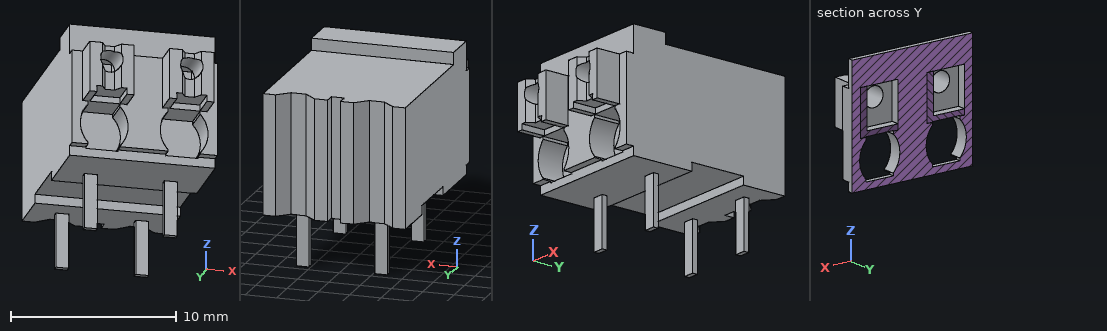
import cadquery as cq


pole_pitch = 5.0
pole_centres = (-pole_pitch / 2, pole_pitch / 2)

total_length = 14.0
button_reach = 1.72
housing_width = 9.1
housing_length = total_length - button_reach
body_height = 7.73
crest_height = 8.5
crest_length = 2.49

lip_reach = 0.57
lip_bottom = 0.62
lip_top = 6.6

underside_depth = 0.57
underside_length = 4.0
back_foot_length = 3.2

back_cut_depth = 0.71
channel_mouth = 2.49
channel_floor = 0.95
back_slot_width = 0.81

button_width = 2.77
button_height = 3.2
button_bottom = lip_top - button_height
cavity_back = 1.88
plate_back = 0.38
side_wall = 0.49
groove_mouth = 1.2
groove_floor = 0.59
groove_depth = 0.52
bore_diameter = 1.4
bore_height = 5.61
notch_width = 1.88
notch_height = 0.39

entry_offset = -0.04
entry_bulge_width = 2.98
entry_bulge_height = 2.49
entry_centre_height = 1.95
entry_slot_width = 2.0
entry_slot_bottom = 0.53

pin_width = 0.81
pin_thickness = 0.38
pin_length = 3.5
pin_row_pitch = 7.0
back_pin_inset = 1.68
back_pin_y = housing_length - back_pin_inset
pin_rows = (back_pin_y - pin_row_pitch, back_pin_y)


def block(x_middle, width, y_range, z_range):
    """A box centred on x_middle that spans the given Y and Z ranges."""
    y_front, y_back = y_range
    z_low, z_high = z_range
    return (
        cq.Workplane("XY")
        .box(width, y_back - y_front, z_high - z_low, centered=(True, False, False))
        .translate((x_middle, y_front, z_low))
    )


def tapered_channel(x_middle, mouth, floor, y_mouth, y_floor):
    """An upright trapezoidal prism, taller than the housing, for cutting a channel."""
    return (
        cq.Workplane("XY")
        .polyline([
            (x_middle - mouth / 2, y_mouth),
            (x_middle - floor / 2, y_floor),
            (x_middle + floor / 2, y_floor),
            (x_middle + mouth / 2, y_mouth),
        ])
        .close()
        .extrude(crest_height)
    )


def cylinder_along_y(x_middle, z_middle, diameter, y_range):
    """A round bar whose axis runs along Y."""
    y_front, y_back = y_range
    return (
        cq.Workplane("XZ", origin=(x_middle, y_front, z_middle))
        .circle(diameter / 2)
        .extrude(y_front - y_back)
    )


def make_housing_shell():
    """The stepped side outline carried across the full width."""
    underside_back = housing_length - back_foot_length
    underside_front = underside_back - underside_length
    crest_back = lip_reach + crest_length
    side_outline = [
        (0, lip_bottom),
        (lip_reach, lip_bottom),
        (lip_reach, 0),
        (underside_front, 0),
        (underside_front, underside_depth),
        (underside_back, underside_depth),
        (underside_back, 0),
        (housing_length, 0),
        (housing_length, body_height),
        (crest_back, body_height),
        (crest_back, crest_height),
        (lip_reach, crest_height),
        (lip_reach, lip_top),
        (0, lip_top),
    ]
    return (
        cq.Workplane("YZ", origin=(-housing_width / 2, 0, 0))
        .polyline(side_outline)
        .close()
        .extrude(housing_width)
    )


def make_wire_entry(pole_x):
    """The cutter for one wire entry, reaching up to the underside of the button."""
    bulge_low = entry_centre_height - entry_bulge_height / 2
    bulge_high = entry_centre_height + entry_bulge_height / 2
    half_slot = entry_slot_width / 2
    half_bulge = entry_bulge_width / 2
    return (
        cq.Workplane("XZ", origin=(pole_x + entry_offset, 0, 0))
        .moveTo(-half_slot, entry_slot_bottom)
        .lineTo(half_slot, entry_slot_bottom)
        .lineTo(half_slot, bulge_low)
        .threePointArc((half_bulge, entry_centre_height), (half_slot, bulge_high))
        .lineTo(half_slot, button_bottom)
        .lineTo(-half_slot, button_bottom)
        .lineTo(-half_slot, bulge_high)
        .threePointArc((-half_bulge, entry_centre_height), (-half_slot, bulge_low))
        .close()
        .extrude(-cavity_back)
    )


def make_housing():
    housing = make_housing_shell()
    back_cut_floor = housing_length - back_cut_depth
    for pole_x in pole_centres:
        button_seat = block(pole_x, button_width, (0, cavity_back), (button_bottom, lip_top))
        back_channel = tapered_channel(
            pole_x, channel_mouth, channel_floor, housing_length, back_cut_floor
        )
        housing = housing.cut(button_seat).cut(make_wire_entry(pole_x)).cut(back_channel)
    back_slot = block(0, back_slot_width, (back_cut_floor, housing_length), (0, crest_height))
    return housing.cut(back_slot)


def make_button(pole_x):
    """A block hollowed behind its front plate, leaving a low floor and a wall on the +X side."""
    body = block(pole_x, button_width, (-button_reach, cavity_back), (button_bottom, lip_top))

    floor_top = button_bottom + notch_height
    hollow_x = pole_x - side_wall / 2
    hollow_width = button_width - side_wall
    hollow = block(hollow_x, hollow_width, (plate_back, cavity_back), (floor_top, lip_top))

    groove = tapered_channel(
        pole_x, groove_mouth, groove_floor, -button_reach, groove_depth - button_reach
    )
    bore = cylinder_along_y(pole_x, bore_height, bore_diameter, (-button_reach, plate_back))
    notch = block(pole_x, notch_width, (-button_reach, 0), (button_bottom, floor_top))
    return body.cut(hollow).cut(groove).cut(bore).cut(notch)


def make_pin(pole_x, row_y):
    """A flat pin standing down from the underside of the housing."""
    y_range = (row_y - pin_thickness / 2, row_y + pin_thickness / 2)
    return block(pole_x, pin_width, y_range, (-pin_length, 0))


housing = make_housing()
buttons = [make_button(pole_x) for pole_x in pole_centres]
pins = [make_pin(pole_x, row_y) for pole_x in pole_centres for row_y in pin_rows]

result = cq.Compound.makeCompound([
    housing.val(),
    *[button.val() for button in buttons],
    *[pin.val() for pin in pins],
])